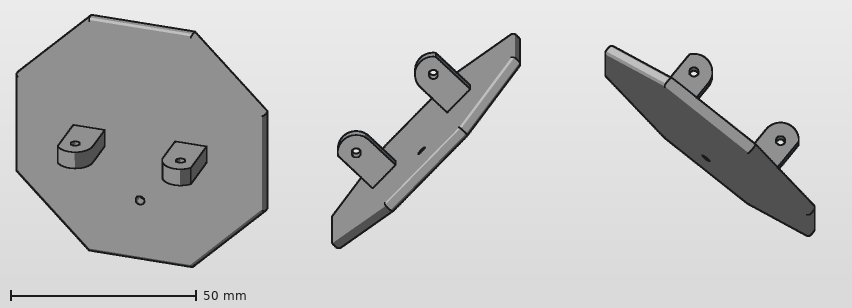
import cadquery as cq
import math

plate_width = 71.2
plate_thickness = 3.4
edge_radius = 1.15

lug_hole_offset = 15.0
lug_hole_reach = 10.0
lug_end_radius = 5.0
lug_width = 9.0
lug_height = 5.0

hole_diameter = 2.5
plate_hole_drop = 17.3


def make_plate():
    """Regular octagon with flats facing X and Z and both rims rounded."""
    corner_diameter = plate_width / math.cos(math.pi / 8)
    plate = (
        cq.Workplane("XZ")
        .polygon(8, corner_diameter)
        .extrude(-plate_thickness)
        .rotate((0, 0, 0), (0, 1, 0), 180 / 8)
    )
    plate = plate.faces("<Y or >Y").edges().fillet(edge_radius)
    hole = (
        cq.Workplane("XZ")
        .center(0, -plate_hole_drop)
        .circle(hole_diameter / 2)
        .extrude(-plate_thickness)
    )
    return plate.cut(hole)


def make_lug(side):
    """Lug with a round end about its pivot hole; its outer flank cuts the round short."""
    pivot_x = side * lug_hole_offset
    inner_x = side * (lug_hole_offset - lug_end_radius)
    outer_x = inner_x + side * lug_width
    round_drop = math.sqrt(lug_end_radius**2 - (outer_x - pivot_x) ** 2)
    lug = (
        cq.Workplane("XY")
        .moveTo(inner_x, 0)
        .lineTo(inner_x, -lug_hole_reach)
        .threePointArc(
            (pivot_x, -lug_hole_reach - lug_end_radius),
            (outer_x, -lug_hole_reach - round_drop),
        )
        .lineTo(outer_x, 0)
        .close()
        .extrude(lug_height / 2, both=True)
    )
    hole = (
        cq.Workplane("XY")
        .center(pivot_x, -lug_hole_reach)
        .circle(hole_diameter / 2)
        .extrude(lug_height / 2, both=True)
    )
    return lug.cut(hole)


result = make_plate()
for side in (-1, 1):
    result = result.union(make_lug(side))